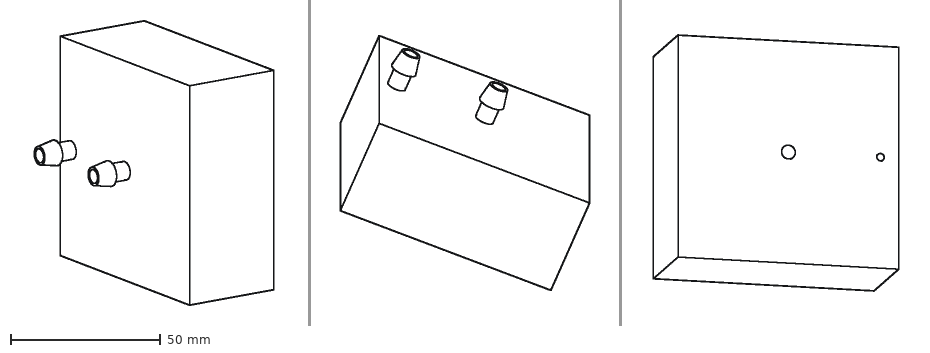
import cadquery as cq

side = 76.2
total_depth = 47.0
fitting_length = 12.7
block_depth = total_depth - fitting_length

stem_diameter = 6.3
barb_diameter = 8.8
stem_length = fitting_length / 2
bore_diameter = 4.7
small_port_diameter = 2.5

edge_fitting_x = 6.3 - side / 2
centre_fitting_x = 0.0


def hose_fitting(x):
    """Solid barbed fitting standing on the front (-Y) face of the block."""
    stem_radius = stem_diameter / 2
    profile = (
        cq.Workplane("XY")
        .polyline([
            (0, 0),
            (stem_radius, 0),
            (stem_radius, -stem_length),
            (barb_diameter / 2, -stem_length),
            (stem_radius, -fitting_length),
            (0, -fitting_length),
        ])
        .close()
    )
    return profile.revolve(360, (0, 0), (0, 1)).translate((x, 0, 0))


def bore(x, diameter, depth):
    """Round cutter running along +Y from the tip of a fitting."""
    return (
        cq.Workplane("XZ", origin=(x, -fitting_length, 0))
        .circle(diameter / 2)
        .extrude(-depth)
    )


result = cq.Workplane("XY").box(side, block_depth, side).translate((0, block_depth / 2, 0))

for fitting_x in (edge_fitting_x, centre_fitting_x):
    result = result.union(hose_fitting(fitting_x))

result = result.cut(bore(centre_fitting_x, bore_diameter, total_depth))

result = result.cut(bore(edge_fitting_x, bore_diameter, fitting_length))
result = result.cut(bore(edge_fitting_x, small_port_diameter, total_depth))